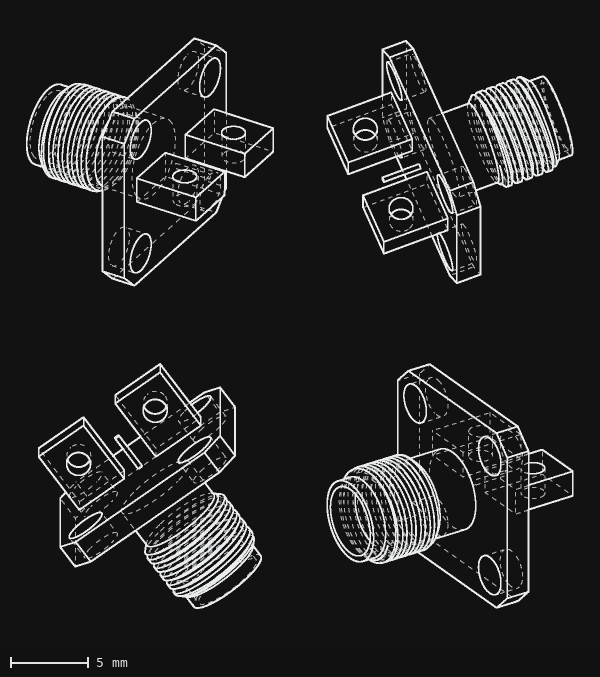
import cadquery as cq
import math

TOTAL_LENGTH = 13.94

BARREL_RADIUS = 2.7
BORE_DIAMETER = 4.61
BORE_DEPTH = 1.9

THREAD_START = 0.92
THREAD_END = 5.12
THREAD_RADIUS = 3.18
FIVE_PITCHES = 3.53
THREAD_PITCH = FIVE_PITCHES / 5
GROOVE_WIDTH = 0.38
GROOVE_ANGLE = 60
CUTTER_OVERRUN = 0.07
GROOVE_TOP_X = 1.56

FLANGE_START = 7.86
FLANGE_THICKNESS = 1.65
FLANGE_SIDE = 12.7
CORNER_CHAMFER = 1.24
MOUNT_HOLE_SPACING = 8.64
MOUNT_HOLE_DIAMETER = 2.6

TAB_CENTER_Y = 3.04
TAB_WIDTH = 3.57
TAB_BOTTOM = -0.13
TAB_THICKNESS = 1.78
TAB_HOLE_DIAMETER = 1.53
PIN_DIAMETER = 0.32
PIN_LENGTH = 2.52

FLANGE_END = FLANGE_START + FLANGE_THICKNESS
PIN_END = FLANGE_END + PIN_LENGTH


def make_cylinder(start_x, length, radius):
    return cq.Workplane("YZ", origin=(start_x, 0, 0)).circle(radius).extrude(length)


def make_thread_cutter():
    """V-shaped helical ridge whose tip stays clear of the plain barrel."""
    slope = math.tan(math.radians(GROOVE_ANGLE / 2))
    root_radius = THREAD_RADIUS - GROOVE_WIDTH / 2 / slope
    outer_radius = THREAD_RADIUS + CUTTER_OVERRUN
    half_width = (outer_radius - root_radius) * slope

    start_x = GROOVE_TOP_X - 2 * THREAD_PITCH
    turns = math.ceil((THREAD_END - start_x) / THREAD_PITCH) + 1
    helix = cq.Wire.makeHelix(THREAD_PITCH, turns * THREAD_PITCH, root_radius)
    cutter = (
        cq.Workplane("XZ")
        .polyline([
            (root_radius, 0),
            (outer_radius, half_width),
            (outer_radius, -half_width),
        ])
        .close()
        .sweep(cq.Workplane(obj=helix), isFrenet=True)
    )
    return (
        cutter.rotate((0, 0, 0), (0, 1, 0), 90)
        .rotate((0, 0, 0), (1, 0, 0), 180)
        .translate((start_x, 0, 0))
    )


def make_end_cones():
    """Two 45 degree cones, base to base, that taper both thread ends."""
    middle = (THREAD_START + THREAD_END) / 2
    half_length = (THREAD_END - THREAD_START) / 2
    return (
        cq.Workplane("XY")
        .polyline([
            (THREAD_START, 0),
            (THREAD_START, BARREL_RADIUS),
            (middle, BARREL_RADIUS + half_length),
            (THREAD_END, BARREL_RADIUS),
            (THREAD_END, 0),
        ])
        .close()
        .revolve(360, (0, 0, 0), (1, 0, 0))
    )


def make_thread():
    """Grooved cylinder, cut before its ends are tapered."""
    blank = make_cylinder(0, FLANGE_START, THREAD_RADIUS)
    return blank.cut(make_thread_cutter()).intersect(make_end_cones())


def make_flange():
    return (
        cq.Workplane("YZ", origin=(FLANGE_START, 0, 0))
        .rect(FLANGE_SIDE, FLANGE_SIDE)
        .extrude(FLANGE_THICKNESS)
        .edges("|X")
        .chamfer(CORNER_CHAMFER)
        .faces("<X")
        .workplane(centerOption="CenterOfBoundBox")
        .rect(MOUNT_HOLE_SPACING, MOUNT_HOLE_SPACING, forConstruction=True)
        .vertices()
        .hole(MOUNT_HOLE_DIAMETER)
    )


def make_tab(center_y):
    """Flat board tab with a vertical hole level with the pin tip."""
    tab = cq.Workplane("XY").box(
        TOTAL_LENGTH - FLANGE_END, TAB_WIDTH, TAB_THICKNESS, centered=(False, True, False)
    ).translate((FLANGE_END, center_y, TAB_BOTTOM))
    hole = (
        cq.Workplane("XY", origin=(PIN_END, center_y, TAB_BOTTOM))
        .circle(TAB_HOLE_DIAMETER / 2)
        .extrude(TAB_THICKNESS)
    )
    return tab.cut(hole)


barrel = make_cylinder(0, FLANGE_START, BARREL_RADIUS)
bore = make_cylinder(0, BORE_DEPTH, BORE_DIAMETER / 2)
pin = make_cylinder(FLANGE_END, PIN_LENGTH, PIN_DIAMETER / 2)

body = barrel.union(make_thread()).cut(bore)
body = body.union(make_flange()).union(pin)
for side in (-1, 1):
    body = body.union(make_tab(side * TAB_CENTER_Y))

result = body